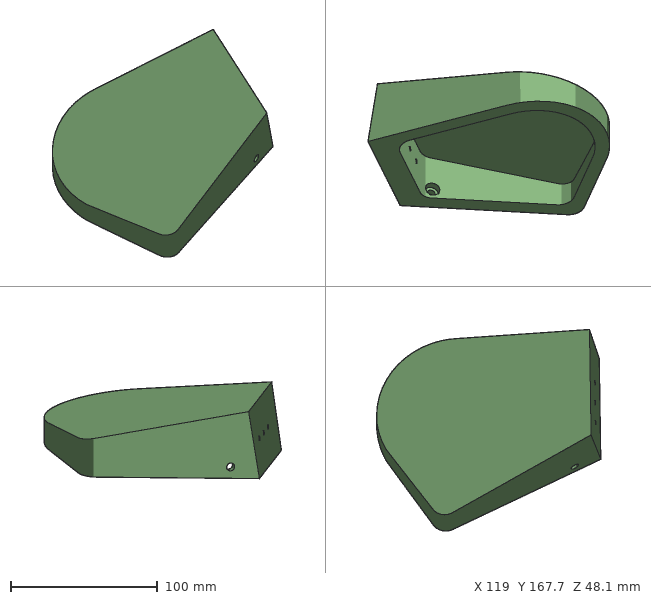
import cadquery as cq
import math

round_radius = 55.0
right_side_x = 64.04
skew = 28.9
left_wall_turn = 28.1
back_left_y = 112.75
front_slope = 4.9
front_distance = 54.73
bend_x = 10.85
bend_angle = 0.4
corner_radius = 10.0

back_height = 48.05
back_lean = 8.0
taper = 5.9

wall = 10.0
pocket_corner_radius = 10.0

screw_diameter = 3.0
screw_spacing = 15.0
screw_count = 3
screw_middle = 44.0
bolt_diameter = 5.5
counterbore_diameter = 10.0
counterbore_depth = 5.0
bolt_height = 10.0
bolt_from_back = 20.5

sin_skew = math.sin(math.radians(skew))
cos_skew = math.cos(math.radians(skew))
tan_taper = math.tan(math.radians(taper))
lean_run = back_height * math.tan(math.radians(back_lean))

left_turn = math.radians(left_wall_turn)
back_left_x = (back_left_y * math.sin(left_turn) - round_radius) / math.cos(left_turn)
back_left_along = back_left_x * cos_skew - back_left_y * sin_skew
back_out = back_left_x * sin_skew + back_left_y * cos_skew
span = 4 * round_radius


def from_skewed(along, out):
    return (along * cos_skew + out * sin_skew, out * cos_skew - along * sin_skew)


def back_line_y(x, out):
    return (out - x * sin_skew) / cos_skew


def back_left_corner(radius, out):
    """Where the left wall, tangent to the rounding, meets the back line."""
    spread = math.cos(math.radians(skew) - left_turn)
    x = (out * math.sin(left_turn) - radius * cos_skew) / spread
    y = (out * math.cos(left_turn) + radius * sin_skew) / spread
    return (x, y)


def plan_outline(inset, out):
    """Outline moved inwards by inset, with its back line at the given out.

    Also returns the end of the rounding at the front wall and the front right corner.
    """
    radius = round_radius - inset
    distance = front_distance - inset
    right_x = right_side_x - inset
    slope = math.radians(front_slope)

    def front_y(x):
        return x * math.tan(slope) - distance / math.cos(slope)

    bend = (bend_x, front_y(bend_x))

    toe = math.radians(front_slope - bend_angle)
    toe_distance = bend[0] * math.sin(toe) - bend[1] * math.cos(toe)
    end_angle = toe - math.pi / 2 - math.acos(toe_distance / radius)
    start_angle = math.pi - left_turn
    middle_angle = (start_angle + end_angle + 2 * math.pi) / 2

    def on_rounding(angle):
        return (radius * math.cos(angle), radius * math.sin(angle))

    outline = (
        cq.Workplane("XY")
        .moveTo(*back_left_corner(radius, out))
        .lineTo(*on_rounding(start_angle))
        .threePointArc(on_rounding(middle_angle), on_rounding(end_angle))
        .lineTo(*bend)
        .lineTo(right_x, front_y(right_x))
        .lineTo(right_x, back_line_y(right_x, out))
        .close()
    )
    return outline, on_rounding(end_angle), (right_x, front_y(right_x))


def edge_at(point):
    """Selects the vertical edge standing on a plan point."""
    return cq.selectors.NearestToPointSelector((point[0], point[1], back_height / 2))


def skewed_prism(points):
    """Profile of (out, z) points extruded along the back edge direction."""
    plane = cq.Plane(
        origin=(0, 0, 0), xDir=(sin_skew, cos_skew, 0), normal=(cos_skew, -sin_skew, 0)
    )
    return cq.Workplane(plane).polyline(points).close().extrude(span, both=True)


def make_body():
    outline, rounding_end, front_right = plan_outline(0, back_out)
    prism = outline.extrude(back_height)
    prism = prism.edges(edge_at(rounding_end)).fillet(corner_radius)
    prism = prism.edges(edge_at(front_right)).fillet(corner_radius)
    front_out = -2 * round_radius
    top_back_out = back_out - lean_run
    wedge = skewed_prism([
        (back_out, 0),
        (top_back_out, back_height),
        (front_out, back_height - (top_back_out - front_out) * tan_taper),
        (front_out, (back_out - front_out) * tan_taper),
    ])
    return prism.intersect(wedge)


def make_pocket():
    """Space inside the side walls, up to a ceiling parallel to the top face."""
    top_back_out = back_out - lean_run
    pocket_out = top_back_out - wall
    outline, _, front_right = plan_outline(wall, pocket_out)
    prism = outline.extrude(back_height)
    back_right = (right_side_x - wall, back_line_y(right_side_x - wall, pocket_out))
    back_left = back_left_corner(round_radius - wall, pocket_out)
    for corner in (front_right, back_right, back_left):
        prism = prism.edges(edge_at(corner)).fillet(pocket_corner_radius)
    ceiling_at_top_edge = back_height - wall / math.cos(math.radians(taper))
    below_ceiling = skewed_prism([
        (top_back_out, ceiling_at_top_edge),
        (-span, ceiling_at_top_edge - (top_back_out + span) * tan_taper),
        (-span, -span),
        (top_back_out, -span),
    ])
    return prism.intersect(below_ceiling)


def make_screw_holes():
    """Row of holes square to the leaning back face, ending in the pocket."""
    lean = math.radians(back_lean)
    inward = cq.Vector(
        -sin_skew * math.cos(lean), -cos_skew * math.cos(lean), -math.sin(lean)
    )
    depth = 2 * wall
    holes = cq.Workplane("XY")
    for index in range(screw_count):
        offset = (index - (screw_count - 1) / 2) * screw_spacing
        along = back_left_along + screw_middle + offset
        x, y = from_skewed(along, back_out - lean_run / 2)
        start = cq.Vector(x, y, back_height / 2) - inward
        holes = holes.add(cq.Solid.makeCylinder(screw_diameter / 2, depth, start, inward))
    return holes.combine()


def make_bolt_hole():
    """Hole along X through the right wall, counterbored from inside the pocket."""
    y = back_line_y(right_side_x, back_out) - bolt_from_back
    inner_x = right_side_x - wall
    along_x = cq.Vector(1, 0, 0)
    start = cq.Vector(inner_x - wall / 2, y, bolt_height)
    bolt = cq.Solid.makeCylinder(bolt_diameter / 2, 2 * wall, start, along_x)
    counterbore = cq.Solid.makeCylinder(
        counterbore_diameter / 2, wall / 2 + counterbore_depth, start, along_x
    )
    return cq.Workplane(bolt.fuse(counterbore))


result = make_body().cut(make_pocket()).cut(make_screw_holes()).cut(make_bolt_hole())